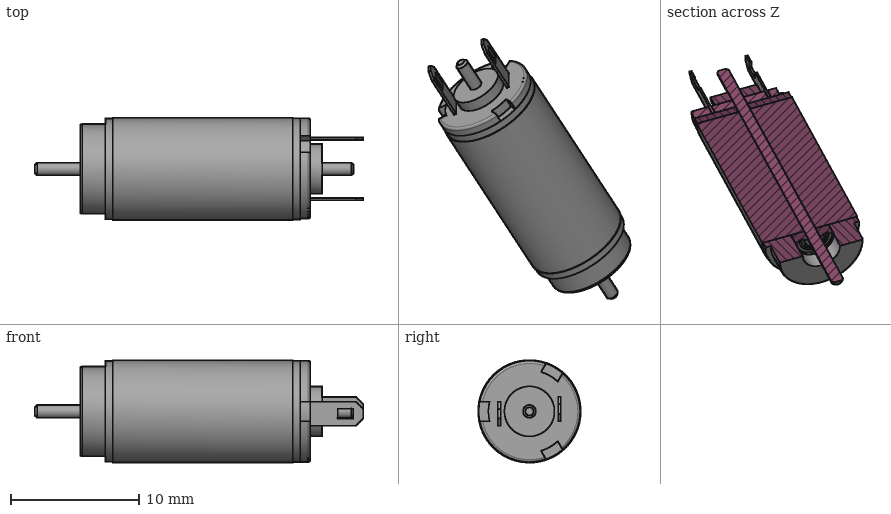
import cadquery as cq


shaft_diameter = 1.0
shaft_front_end = -3.55
shaft_rear_end = 21.3
shaft_chamfer_length = 0.2
shaft_chamfer_depth = 0.18

collar_diameter = 7.0
collar_length = 1.95
collar_chamfer_length = 0.15
collar_chamfer_depth = 0.05
flange_diameter = 7.86
flange_length = 0.6
cover_bore_diameter = 3.1

bearing_recess = 1.35
rim_inner_diameter = 3.0
rim_height = 0.2
groove_outer_diameter = 2.45
groove_inner_diameter = 1.65
groove_depth = 0.15

shield_inner_diameter = 2.1
shield_thickness = 0.1

can_diameter = 8.0
can_length = 14.0
rear_diameter = 7.9
ring_length = 0.6
cap_length = 0.78
cap_edge_fillet = 0.2
notch_count = 3
notch_width = 1.5
notch_floor_diameter = 6.4
boss_diameter = 3.9
boss_length = 0.9

terminal_thickness = 0.2
terminal_width = 1.87
terminal_shift = 0.185
terminal_offset = 2.35
terminal_end = 22.05
terminal_corner_chamfer = 0.57
slot_length = 1.2
slot_width = 0.8
slot_end_gap = 0.8

can_start = collar_length + flange_length
ring_start = can_start + can_length
cap_start = ring_start + ring_length
boss_start = cap_start + cap_length
boss_end = boss_start + boss_length
bearing_face = bearing_recess + rim_height
groove_floor = bearing_face + groove_depth


def cylinder(start, end, diameter):
    """A cylinder on the motor axis from X = start to X = end."""
    return cq.Workplane("YZ", origin=(start, 0, 0)).circle(diameter / 2).extrude(end - start)


def tube(start, end, outer_diameter, inner_diameter):
    """A tube on the motor axis from X = start to X = end."""
    return cylinder(start, end, outer_diameter).cut(cylinder(start, end, inner_diameter))


def box_along_axis(start, end, width_y, width_z, center_y, center_z):
    """A box from X = start to X = end, centred at the given Y and Z."""
    return (
        cq.Workplane("YZ", origin=(start, 0, 0))
        .center(center_y, center_z)
        .rect(width_y, width_z)
        .extrude(end - start)
    )


def turned(body, angle):
    """A copy of the body turned about the motor axis."""
    return body.rotate((0, 0, 0), (1, 0, 0), angle)


def make_shaft():
    """Round pin with a bevel at each end."""
    half = shaft_diameter / 2
    tip = half - shaft_chamfer_depth
    return (
        cq.Workplane("XY")
        .moveTo(shaft_front_end, 0)
        .lineTo(shaft_front_end, tip)
        .lineTo(shaft_front_end + shaft_chamfer_length, half)
        .lineTo(shaft_rear_end - shaft_chamfer_length, half)
        .lineTo(shaft_rear_end, tip)
        .lineTo(shaft_rear_end, 0)
        .close()
        .revolve(360, (0, 0, 0), (1, 0, 0))
    )


def make_front_cover():
    """Mounting collar with a bevelled front edge, the flange behind it and a through bore."""
    collar_radius = collar_diameter / 2
    flange_radius = flange_diameter / 2
    bore_radius = cover_bore_diameter / 2
    return (
        cq.Workplane("XY")
        .moveTo(0, bore_radius)
        .lineTo(0, collar_radius - collar_chamfer_depth)
        .lineTo(collar_chamfer_length, collar_radius)
        .lineTo(collar_length, collar_radius)
        .lineTo(collar_length, flange_radius)
        .lineTo(can_start, flange_radius)
        .lineTo(can_start, bore_radius)
        .close()
        .revolve(360, (0, 0, 0), (1, 0, 0))
    )


def make_front_bearing():
    """Bearing with a thin raised rim and an annular groove in its front face."""
    body = tube(bearing_face, can_start, cover_bore_diameter, shaft_diameter)
    rim = tube(bearing_recess, bearing_face, cover_bore_diameter, rim_inner_diameter)
    groove = tube(bearing_face, groove_floor, groove_outer_diameter, groove_inner_diameter)
    return body.union(rim).cut(groove)


def make_shield():
    """Flat ring on the groove floor, against the outer wall of the groove."""
    return tube(groove_floor - shield_thickness, groove_floor, groove_outer_diameter, shield_inner_diameter)


def make_can():
    """Main cylinder of the motor, bored for the shaft."""
    return tube(can_start, ring_start, can_diameter, shaft_diameter)


def make_rear_ring():
    """Slightly smaller disc that closes the can."""
    return tube(ring_start, cap_start, rear_diameter, shaft_diameter)


def make_end_cap(terminals):
    """Disc with a rounded rear edge, evenly spaced rim notches and slits for the terminals."""
    cap = cylinder(cap_start, boss_start, rear_diameter).faces(">X").edges().fillet(cap_edge_fillet)
    cap = cap.cut(cylinder(cap_start, boss_start, shaft_diameter))
    notch = box_along_axis(
        cap_start, boss_start, can_diameter, notch_width, -can_diameter / 2, 0
    ).cut(cylinder(cap_start, boss_start, notch_floor_diameter))
    for i in range(notch_count):
        cap = cap.cut(turned(notch, i * 360 / notch_count))
    for terminal in terminals:
        cap = cap.cut(terminal)
    return cap


def make_rear_boss():
    """Short boss on the rear face, bored for the shaft."""
    return tube(boss_start, boss_end, boss_diameter, shaft_diameter)


def make_terminal(angle):
    """Flat solder tab with bevelled outer corners and a rectangular slot."""
    tab = box_along_axis(
        cap_start, terminal_end, terminal_thickness, terminal_width, -terminal_offset, -terminal_shift
    )
    tab = tab.faces(">X").edges("|Y").chamfer(terminal_corner_chamfer)
    slot_end = terminal_end - slot_end_gap
    slot = box_along_axis(
        slot_end - slot_length, slot_end, terminal_thickness, slot_width, -terminal_offset, -terminal_shift
    )
    return turned(tab.cut(slot), angle)


terminals = [make_terminal(angle) for angle in (0, 180)]

shaft = make_shaft()
front_cover = make_front_cover()
front_bearing = make_front_bearing()
shield = make_shield()
can = make_can()
rear_ring = make_rear_ring()
end_cap = make_end_cap(terminals)
rear_boss = make_rear_boss()

result = cq.Compound.makeCompound(
    [
        shaft.val(),
        front_cover.val(),
        front_bearing.val(),
        shield.val(),
        can.val(),
        rear_ring.val(),
        end_cap.val(),
        rear_boss.val(),
        *[terminal.val() for terminal in terminals],
    ]
)